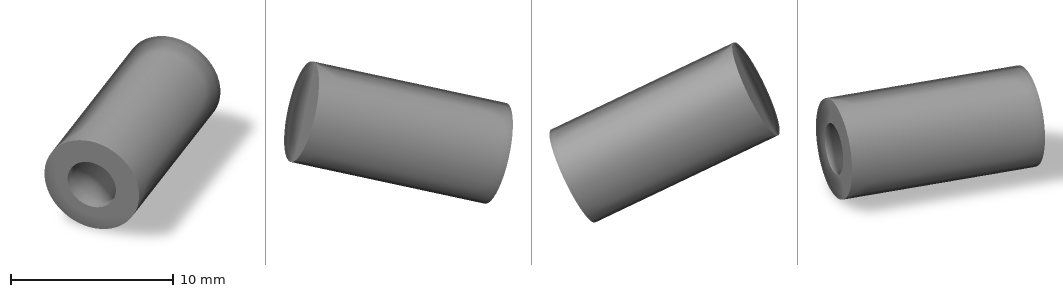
import cadquery as cq
import math

outer_diameter = 6.35
length = 12.7
hole_diameter = 3.242
hole_depth = 8.0
drill_point_angle = 143.0

hole_radius = hole_diameter / 2
point_depth = hole_radius / math.tan(math.radians(drill_point_angle / 2))


def make_body():
    """Solid cylinder on the Y axis, running from y = 0 to y = length."""
    return cq.Workplane("XZ").circle(outer_diameter / 2).extrude(-length)


def make_drilled_hole():
    """Half profile of the hole, revolved about Y to give a bore with a conical bottom."""
    return (
        cq.Workplane("XY")
        .moveTo(0, 0)
        .lineTo(hole_radius, 0)
        .lineTo(hole_radius, hole_depth)
        .lineTo(0, hole_depth + point_depth)
        .close()
        .revolve(360, (0, 0, 0), (0, 1, 0))
    )


result = make_body().cut(make_drilled_hole())